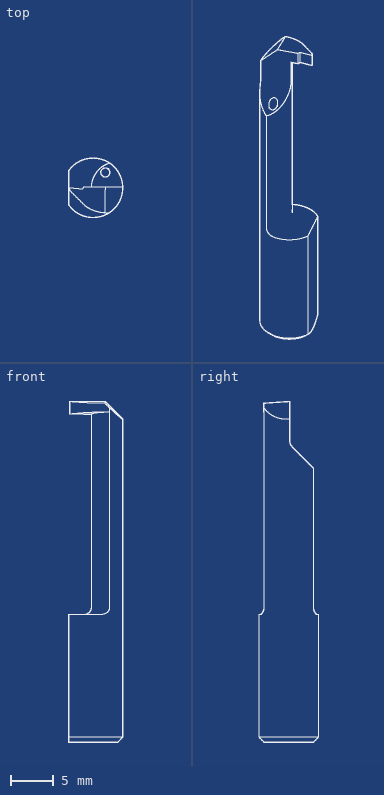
import cadquery as cq
import math

total_height = 40.0
shank_radius = 3.5
flat_x = -2.86
shank_height = 15.0
bottom_chamfer = 0.6

neck_left_x = -0.2
neck_radius = 3.05
neck_center_x = neck_left_x + neck_radius
neck_fillet = 0.85

rake_y = 0.1
runout_z = 34.95
runout_fillet = 1.1

head_underside_z = 38.5
tip_x = -2.75
tip_y = 0.0
tip_width = 0.25
tip_land_end = (-2.6, -0.45)
flank_end = (-0.9, -2.1)
flank_arc_middle = (0.35, -2.75)
rake_step_x = -1.1
rake_step_depth = 0.3
rake_step_run = 0.15
edge_corner_x = 1.9
edge_corner_y = -math.sqrt(shank_radius**2 - edge_corner_x**2)
underside_relief = 5.0
top_relief = 4.0
head_trim = 0.4

bevel_start_x = 1.45
bevel_relief = 5.0

coolant_x = 1.45
coolant_y = 1.8
coolant_diameter = 1.05

cut_size = 3 * shank_radius


def tilt_about_rake(body, z, angle):
    """Tilt a body about the X-parallel line on the rake face at height z."""
    return body.rotate((0, rake_y, z), (1, rake_y, z), angle)


def make_shank():
    flat_cut = cq.Workplane("XY").box(
        cut_size, cut_size, total_height, centered=(True, True, False)
    ).translate((flat_x - cut_size / 2, 0, 0))
    return (
        cq.Workplane("XY")
        .circle(shank_radius)
        .extrude(shank_height)
        .faces("<Z")
        .chamfer(bottom_chamfer)
        .cut(flat_cut)
    )


def make_neck():
    """Neck with a concave flare at its foot, kept within the bar diameter."""
    foot_radius = neck_radius + neck_fillet
    fillet_mid = neck_fillet * (1 - math.sqrt(0.5))
    flared_neck = (
        cq.Workplane("XZ")
        .lineTo(foot_radius, 0)
        .threePointArc((neck_radius + fillet_mid, fillet_mid), (neck_radius, neck_fillet))
        .lineTo(neck_radius, total_height - shank_height)
        .lineTo(0, total_height - shank_height)
        .close()
        .revolve(360, (0, 0, 0), (0, 1, 0))
        .translate((neck_center_x, 0, shank_height))
    )
    bar = cq.Workplane("XY").circle(shank_radius).extrude(total_height)
    return flared_neck.intersect(bar)


def cut_chip_clearance(body):
    far_y = rake_y + cut_size
    clearance = (
        cq.Workplane("YZ")
        .moveTo(rake_y, runout_z)
        .lineTo(far_y, runout_z - cut_size)
        .lineTo(far_y, total_height)
        .lineTo(rake_y, total_height)
        .close()
        .extrude(cut_size, both=True)
        .edges(cq.selectors.NearestToPointSelector((0, rake_y, runout_z)))
        .fillet(runout_fillet)
    )
    return body.cut(clearance)


def make_head():
    """Hooked cutting head whose underside rises away from the rake face."""
    blank = (
        cq.Workplane("XY")
        .workplane(offset=head_underside_z - head_trim)
        .moveTo(tip_x, tip_y)
        .lineTo(tip_x, tip_y - tip_width)
        .lineTo(*tip_land_end)
        .lineTo(*flank_end)
        .threePointArc(flank_arc_middle, (edge_corner_x, edge_corner_y))
        .lineTo(edge_corner_x, rake_y)
        .lineTo(rake_step_x, rake_y)
        .lineTo(rake_step_x - rake_step_run, rake_y - rake_step_depth)
        .close()
        .extrude(total_height - head_underside_z + head_trim)
    )
    below = cq.Workplane("XY").box(cut_size, 2 * cut_size, cut_size).translate(
        (0, 0, head_underside_z - cut_size / 2)
    )
    return blank.cut(tilt_about_rake(below, head_underside_z, -underside_relief))


def cut_top(body):
    above = cq.Workplane("XY").box(2 * cut_size, 2 * cut_size, cut_size).translate(
        (0, 0, total_height + cut_size / 2)
    )
    bevel = (
        cq.Workplane("XZ")
        .moveTo(bevel_start_x, total_height)
        .lineTo(bevel_start_x + cut_size, total_height - cut_size)
        .lineTo(bevel_start_x + cut_size, total_height + cut_size)
        .lineTo(bevel_start_x - cut_size, total_height + cut_size)
        .close()
        .extrude(cut_size, both=True)
    )
    body = body.cut(tilt_about_rake(above, total_height, top_relief))
    return body.cut(tilt_about_rake(bevel, total_height, bevel_relief))


def cut_coolant_hole(body):
    hole = (
        cq.Workplane("XY")
        .center(coolant_x, coolant_y)
        .circle(coolant_diameter / 2)
        .extrude(total_height)
    )
    return body.cut(hole)


tool = make_shank().union(cut_chip_clearance(make_neck())).union(make_head())
result = cut_coolant_hole(cut_top(tool))